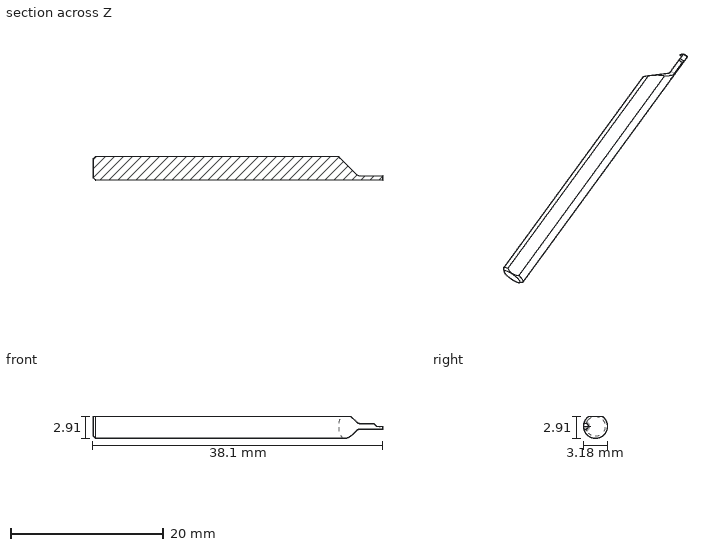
import cadquery as cq
import math

length = 38.1
shank_radius = 3.175 / 2
flat_height = 2.91 - shank_radius
back_chamfer = 0.3

neck_radius = 0.4
neck_width = 0.65
neck_axis_y = neck_width - neck_radius - shank_radius
taper_end_x = 34.82
taper_angle = 45
taper_fillet = 0.6

rake_height = 0
rake_start_x = 37.3
tooth_x = 37.68
tooth_tip_y = -0.63
tooth_depth = 0.2
nose_width = 0.08
nose_end_x = tooth_x + nose_width
front_flank_end_y = tooth_tip_y - (length - nose_end_x)


def make_shank():
    bar = cq.Workplane("YZ").circle(shank_radius).extrude(length)
    bar = bar.faces("<X").chamfer(back_chamfer)
    flat_cut = (
        cq.Workplane("XY", origin=(0, 0, flat_height))
        .rect(2 * length, 4 * shank_radius)
        .extrude(shank_radius)
    )
    return bar.cut(flat_cut)


def make_neck_envelope():
    """Stem, blend and cone turned about the neck axis, wide enough at the back to hold the shank."""
    slope = math.radians(taper_angle)
    tangent = taper_fillet * math.tan(slope / 2)
    blend_start = (
        taper_end_x - tangent * math.cos(slope),
        neck_radius + tangent * math.sin(slope),
    )
    blend_middle = (
        taper_end_x + tangent - taper_fillet * math.sin(slope / 2),
        neck_radius + taper_fillet * (1 - math.cos(slope / 2)),
    )
    blend_end = (taper_end_x + tangent, neck_radius)
    back_radius = 2 * shank_radius
    cone_back_x = taper_end_x - (back_radius - neck_radius) / math.tan(slope)
    return (
        cq.Workplane("XZ", origin=(0, neck_axis_y, 0))
        .moveTo(0, 0)
        .lineTo(0, back_radius)
        .lineTo(cone_back_x, back_radius)
        .lineTo(*blend_start)
        .threePointArc(blend_middle, blend_end)
        .lineTo(length, neck_radius)
        .lineTo(length, 0)
        .close()
        .revolve(360, (0, 0, 0), (1, 0, 0))
    )


def make_tooth():
    """Tooth with a straight rear flank, narrow nose and 45 degree front flank, relieved underneath."""
    outline = (
        cq.Workplane("XY", origin=(0, 0, rake_height))
        .moveTo(tooth_x, neck_axis_y)
        .lineTo(tooth_x, tooth_tip_y)
        .lineTo(nose_end_x, tooth_tip_y)
        .lineTo(length, front_flank_end_y)
        .lineTo(length, neck_axis_y)
        .close()
        .extrude(-tooth_depth)
    )
    relieved_section = (
        cq.Workplane("YZ")
        .moveTo(neck_axis_y, rake_height)
        .lineTo(tooth_tip_y, rake_height)
        .lineTo(neck_axis_y, rake_height - tooth_depth)
        .close()
        .extrude(length)
    )
    return outline.intersect(relieved_section)


def make_rake_cut():
    """Space above the rake face, with a 45 degree run-out towards the neck."""
    cut_rise = 2 * neck_radius
    top = rake_height + cut_rise
    beyond_end = length + neck_radius
    return (
        cq.Workplane("XZ")
        .moveTo(rake_start_x, rake_height)
        .lineTo(rake_start_x - cut_rise, top)
        .lineTo(beyond_end, top)
        .lineTo(beyond_end, rake_height)
        .close()
        .extrude(2 * shank_radius, both=True)
    )


def make_front_relief():
    """Corner in front of the tooth, continuing its 45 degree front flank through the neck."""
    return (
        cq.Workplane("XY")
        .moveTo(nose_end_x, tooth_tip_y)
        .lineTo(length, tooth_tip_y)
        .lineTo(length, front_flank_end_y)
        .close()
        .extrude(shank_radius, both=True)
    )


turned = make_shank().intersect(make_neck_envelope())
head = turned.cut(make_rake_cut()).union(make_tooth())
result = head.cut(make_front_relief())